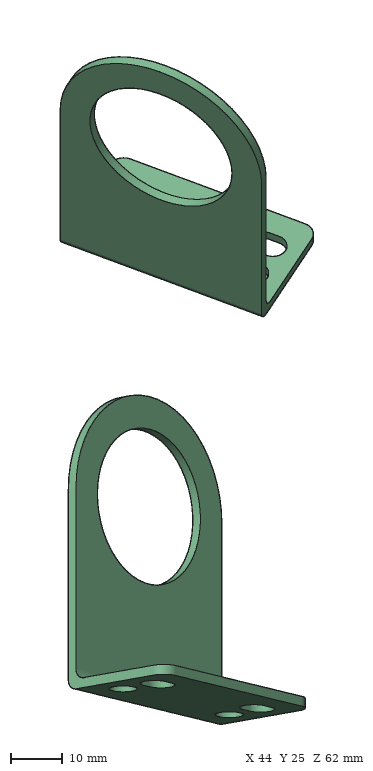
import cadquery as cq

width = 44.0
depth = 25.0
height = 62.0
thickness = 2.0

bend_outer_radius = 2.0
bend_inner_radius = 2.0

top_radius = width / 2
top_center_z = height - top_radius
large_hole_diameter = 31.0

corner_radius = 3.0
small_hole_diameter = 5.5
hole_offset_x = 16.0
hole_y = 9.0
slot_y = 17.0
slot_travel = 2.0
slot_length = small_hole_diameter + slot_travel
slot_offset_x = hole_offset_x - slot_travel / 2


def bent_strip():
    """L-shaped strip, rounded inside and outside the bend."""
    profile = (
        cq.Workplane("YZ")
        .polyline([
            (0, 0),
            (depth, 0),
            (depth, thickness),
            (thickness, thickness),
            (thickness, height),
            (0, height),
        ])
        .close()
    )
    strip = profile.extrude(width / 2, both=True)
    inner_edge = cq.selectors.NearestToPointSelector((0, thickness, thickness))
    outer_edge = cq.selectors.NearestToPointSelector((0, 0, 0))
    strip = strip.edges("|X").edges(inner_edge).fillet(bend_inner_radius)
    return strip.edges("|X").edges(outer_edge).fillet(bend_outer_radius)


def front_outline():
    """Upright silhouette with its round top, extruded through the full depth."""
    return (
        cq.Workplane("XZ")
        .moveTo(-width / 2, 0)
        .lineTo(width / 2, 0)
        .lineTo(width / 2, top_center_z)
        .threePointArc((0, height), (-width / 2, top_center_z))
        .close()
        .extrude(-depth)
    )


def large_hole():
    """Cutter for the hole through the upright."""
    return (
        cq.Workplane("XZ")
        .center(0, top_center_z)
        .circle(large_hole_diameter / 2)
        .extrude(-thickness)
    )


def foot_openings():
    """Cutters for the mirrored pairs of round holes and slots."""
    holes = (
        cq.Workplane("XY")
        .pushPoints([(-hole_offset_x, hole_y), (hole_offset_x, hole_y)])
        .circle(small_hole_diameter / 2)
        .extrude(thickness)
    )
    slots = (
        cq.Workplane("XY")
        .pushPoints([(-slot_offset_x, slot_y), (slot_offset_x, slot_y)])
        .slot2D(slot_length, small_hole_diameter)
        .extrude(thickness)
    )
    return holes.union(slots)


bracket = bent_strip().intersect(front_outline())
bracket = bracket.faces(">Y").edges("|Z").fillet(corner_radius)
result = bracket.cut(large_hole()).cut(foot_openings())